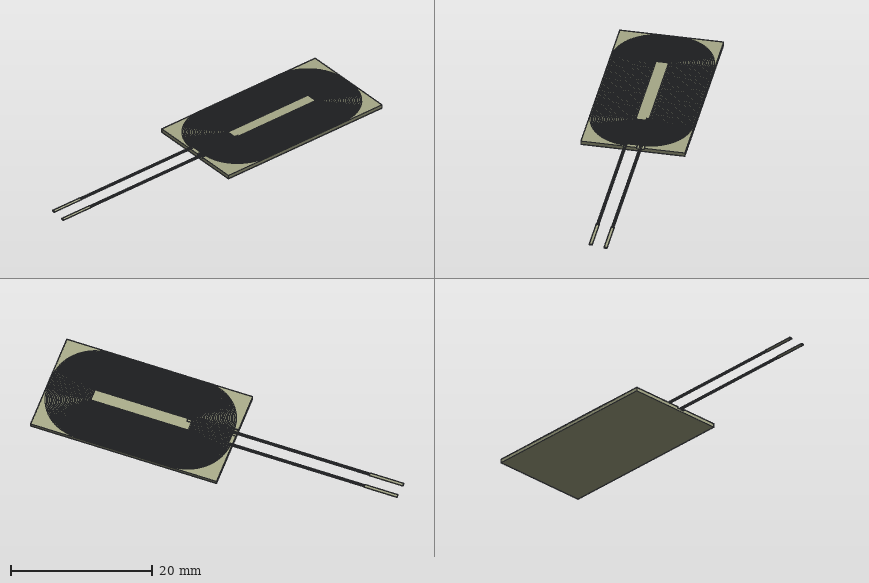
import cadquery as cq
import math

PLATE_WIDTH = 15.0
PLATE_LENGTH = 28.0
PLATE_THICKNESS = 0.6

STRAND_DIAMETER = 0.18
STRAND_SPACING = 0.175
STRAND_RADIUS = STRAND_DIAMETER / 2

TURNS = 18
TURN_PITCH = 0.36
CORNER_X = 0.9
CORNER_Y = 7.3
FIRST_RADIUS = TURN_PITCH / 2
LAST_RADIUS = FIRST_RADIUS + (TURNS - 1) * TURN_PITCH
COIL_Z = PLATE_THICKNESS + STRAND_RADIUS

OVERALL_LENGTH = 53
LEAD_X = CORNER_X + FIRST_RADIUS
INNER_LEAD_END_Y = PLATE_LENGTH / 2 - OVERALL_LENGTH
OUTER_LEAD_SHORTFALL = 0.1
OUTER_LEAD_END_Y = INNER_LEAD_END_Y + OUTER_LEAD_SHORTFALL
OUTER_BEND_RADIUS = 0.24

LEAD_DROP = 0.19
INNER_LEAD_Z = COIL_Z - LEAD_DROP
STEP_LENGTH = 0.7
STEP_TOP_Y = STEP_LENGTH - CORNER_Y
SLOT_WIDTH = 1.1
SLOT_DEPTH = 0.2

INNER_TIP_LENGTH = 5.1
TIP_START_Y = INNER_LEAD_END_Y + INNER_TIP_LENGTH
TIP_WIDTH = 0.5
TIP_HEIGHT = 0.245


def coil_point(x, y):
    return cq.Vector(x, y, COIL_Z)


def coil_line(start, end):
    return cq.Edge.makeLine(coil_point(*start), coil_point(*end))


def coil_arc(center, radius, start_angle, end_angle):
    """Arc in the plane of the winding; angles in degrees, counterclockwise from +X."""
    points = []
    for angle in (start_angle, (start_angle + end_angle) / 2, end_angle):
        x = center[0] + radius * math.cos(math.radians(angle))
        y = center[1] + radius * math.sin(math.radians(angle))
        points.append(coil_point(x, y))
    return cq.Edge.makeThreePointArc(*points)


def inner_lead_path():
    """Straight lead, then an S-shaped step of two equal arcs up to the first turn."""
    start = cq.Vector(LEAD_X, INNER_LEAD_END_Y, INNER_LEAD_Z)
    foot = cq.Vector(LEAD_X, -CORNER_Y, INNER_LEAD_Z)
    middle = cq.Vector(LEAD_X, STEP_TOP_Y - STEP_LENGTH / 2, COIL_Z - LEAD_DROP / 2)
    top = cq.Vector(LEAD_X, STEP_TOP_Y, COIL_Z)
    along_y = cq.Vector(0, 1, 0)
    lower_arc = cq.Edge.makeTangentArc(foot, along_y, middle)
    upper_arc = cq.Edge.makeTangentArc(middle, lower_arc.tangentAt(1), top)
    return [cq.Edge.makeLine(start, foot), lower_arc, upper_arc]


def winding_path():
    """Counterclockwise turns; each grows by one pitch because its last corner is shifted in X."""
    left, right = -CORNER_X, CORNER_X
    bottom, top = -CORNER_Y, CORNER_Y
    next_right = right + TURN_PITCH
    edges = []
    for turn in range(TURNS):
        radius = FIRST_RADIUS + turn * TURN_PITCH
        side_start_y = STEP_TOP_Y if turn == 0 else bottom
        edges += [
            coil_line((right + radius, side_start_y), (right + radius, top)),
            coil_arc((right, top), radius, 0, 90),
            coil_line((right, top + radius), (left, top + radius)),
            coil_arc((left, top), radius, 90, 180),
            coil_line((left - radius, top), (left - radius, bottom)),
        ]
        if turn < TURNS - 1:
            edges += [
                coil_arc((left, bottom), radius, 180, 270),
                coil_line((left, bottom - radius), (next_right, bottom - radius)),
                coil_arc((next_right, bottom), radius, 270, 360),
            ]
    return edges


def outer_lead_path():
    """Last corner of the winding, a tight reverse bend tangent to it, and the straight lead."""
    corner = (-CORNER_X, -CORNER_Y)
    bend_x = -LEAD_X - OUTER_BEND_RADIUS
    sine = (bend_x - corner[0]) / (LAST_RADIUS + OUTER_BEND_RADIUS)
    off_vertical = math.degrees(math.asin(sine))
    bend_y = corner[1] - (LAST_RADIUS + OUTER_BEND_RADIUS) * math.cos(math.radians(off_vertical))
    return [
        coil_arc(corner, LAST_RADIUS, 180, 270 + off_vertical),
        coil_arc((bend_x, bend_y), OUTER_BEND_RADIUS, 90 + off_vertical, 0),
        coil_line((-LEAD_X, bend_y), (-LEAD_X, OUTER_LEAD_END_Y)),
    ]


def wire_section():
    """Figure-of-eight outline of the two strands, across the free end of the inner lead."""
    half_spacing = STRAND_SPACING / 2
    neck = math.sqrt(STRAND_RADIUS**2 - half_spacing**2)
    plane = cq.Plane(origin=(LEAD_X, INNER_LEAD_END_Y, INNER_LEAD_Z), xDir=(1, 0, 0), normal=(0, -1, 0))
    return (
        cq.Workplane(plane)
        .moveTo(0, neck)
        .threePointArc((half_spacing + STRAND_RADIUS, 0), (0, -neck))
        .threePointArc((-half_spacing - STRAND_RADIUS, 0), (0, neck))
        .close()
    )


def tinned_tip(x, end_y, z):
    """Oval sleeve of solder around the end of a lead."""
    plane = cq.Plane(origin=(x, end_y, z), xDir=(1, 0, 0), normal=(0, 1, 0))
    return cq.Workplane(plane).ellipse(TIP_WIDTH / 2, TIP_HEIGHT / 2).extrude(TIP_START_Y - end_y)


def make_coil():
    path = cq.Wire.assembleEdges(inner_lead_path() + winding_path() + outer_lead_path())
    wire = wire_section().sweep(cq.Workplane(path))
    inner_tip = tinned_tip(LEAD_X, INNER_LEAD_END_Y, INNER_LEAD_Z)
    outer_tip = tinned_tip(-LEAD_X, OUTER_LEAD_END_Y, COIL_Z)
    return wire.union(inner_tip).union(outer_tip)


def make_plate():
    plate = cq.Workplane("XY").box(PLATE_WIDTH, PLATE_LENGTH, PLATE_THICKNESS, centered=(True, True, False))
    slot_length = STEP_TOP_Y + PLATE_LENGTH / 2
    slot_floor_z = PLATE_THICKNESS - SLOT_DEPTH
    slot = (
        cq.Workplane("XY", origin=(LEAD_X, -PLATE_LENGTH / 2, slot_floor_z))
        .box(SLOT_WIDTH, slot_length, SLOT_DEPTH, centered=(True, False, False))
    )
    return plate.cut(slot)


plate = make_plate()
coil = make_coil()

result = cq.Compound.makeCompound([plate.val(), coil.val()])